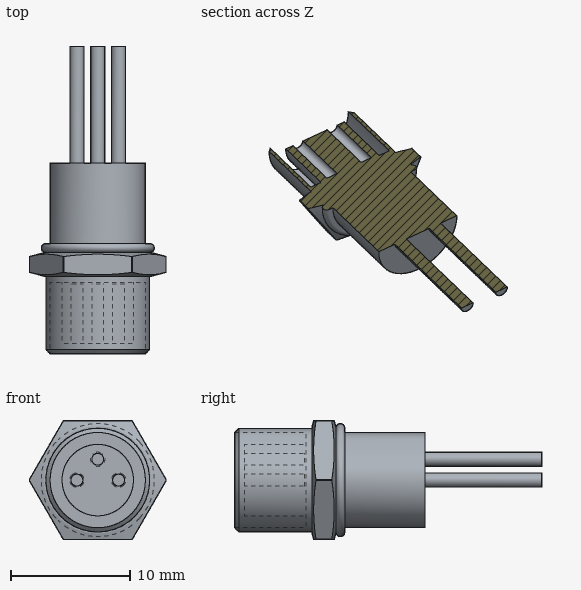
import cadquery as cq
import math


front_radius = 4.35
rear_radius = 4.0
body_length = 16.0
bore_radius = 4.0
bore_depth = 6.0
rim_chamfer = front_radius - bore_radius

hex_sides = 6
hex_across_flats = 10.0
hex_corner_diameter = 11.5
hex_face_radius = 4.5
hex_chamfer_angle = 15.0
hex_start = 6.5
hex_thickness = 2.0
hex_end = hex_start + hex_thickness

ring_section_radius = 0.375
ring_outer_radius = 4.75

insert_radius = 3.0
insert_recess = 0.85
socket_radius = 0.5
socket_depth = 5.0

wire_radius = 0.6
total_length = 25.8

contact_offset = 1.75
contact_places = [(-contact_offset, 0), (contact_offset, 0), (0, contact_offset)]


def cylinder(radius, start, end, place=(0, 0)):
    """Cylinder along Y between two Y stations, centred at an (X, Z) place."""
    x, z = place
    origin = cq.Vector(x, start, z)
    return cq.Workplane(obj=cq.Solid.makeCylinder(radius, end - start, origin, cq.Vector(0, 1, 0)))


def revolve_about_y(profile):
    return profile.close().revolve(360, (0, 0), (0, 1))


def make_body():
    front = cylinder(front_radius, 0, hex_end).faces("<Y").chamfer(rim_chamfer)
    rear = cylinder(rear_radius, hex_start, body_length)
    return front.union(rear).cut(cylinder(bore_radius, 0, bore_depth))


def make_hex_flange():
    """Hexagon with flats facing +/-Z and both faces chamfered conically."""
    corner_to_corner = hex_across_flats / math.cos(math.pi / hex_sides)
    prism = (
        cq.Workplane("XZ", origin=(0, hex_end, 0))
        .polygon(hex_sides, corner_to_corner)
        .extrude(hex_thickness)
    )
    outer_radius = hex_corner_diameter / 2
    slope = math.tan(math.radians(hex_chamfer_angle))
    chamfer_drop = (outer_radius - hex_face_radius) * slope
    envelope = revolve_about_y(
        cq.Workplane("XY")
        .moveTo(0, hex_start)
        .lineTo(hex_face_radius, hex_start)
        .lineTo(outer_radius, hex_start + chamfer_drop)
        .lineTo(outer_radius, hex_end - chamfer_drop)
        .lineTo(hex_face_radius, hex_end)
        .lineTo(0, hex_end)
    )
    return prism.intersect(envelope)


def make_sealing_ring():
    """Ring with a half-round outer edge, lying against the flange."""
    ring_end = hex_end + 2 * ring_section_radius
    round_start = ring_outer_radius - ring_section_radius
    return revolve_about_y(
        cq.Workplane("XY")
        .moveTo(0, hex_end)
        .lineTo(round_start, hex_end)
        .threePointArc((ring_outer_radius, hex_end + ring_section_radius), (round_start, ring_end))
        .lineTo(0, ring_end)
    )


def make_insert():
    insert = cylinder(insert_radius, insert_recess, bore_depth)
    for place in contact_places:
        insert = insert.cut(cylinder(socket_radius, insert_recess, insert_recess + socket_depth, place))
    return insert


connector = make_body().union(make_hex_flange()).union(make_sealing_ring()).union(make_insert())
for contact_place in contact_places:
    connector = connector.union(cylinder(wire_radius, body_length, total_length, contact_place))

result = connector